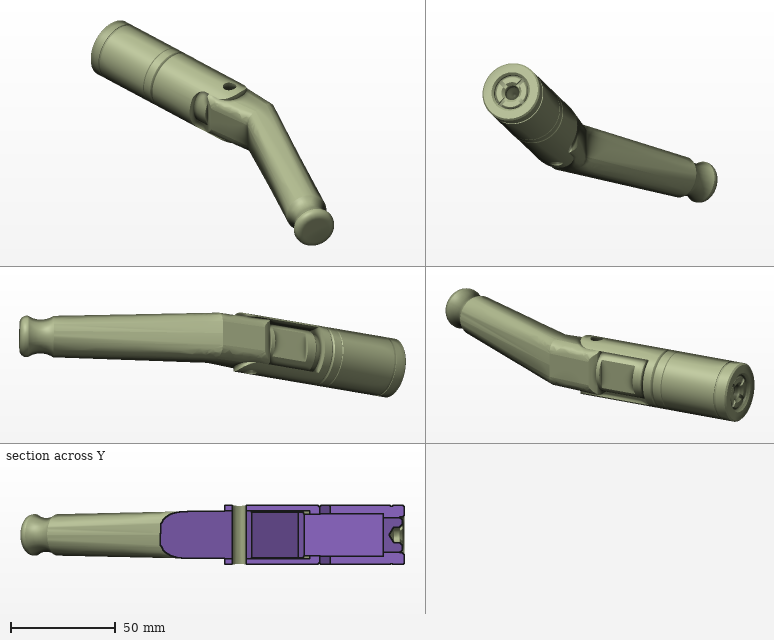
import cadquery as cq
import math

barrel_dia = 28.5
sleeve_end = 35.6
ring_end = 40.8
housing_end = 86.1
end_chamfer = 0.7
fine_chamfer = 0.28
groove_start = 5.7
groove_width = 1.1
groove_depth = 0.4

screw_dia = 16.2
screw_recess = 1.1
screw_length = 9.2
screw_chamfer = 0.7
mouth_dia = 19.1
mouth_bore_dia = 17.0
center_mouth_dia = 10.0
center_dia = 7.2
center_depth = 4.0
center_tip_depth = 2.2
screw_slot_width = 1.8
screw_slot_depth = 1.1

rod_dia = 20.0
washer_start = 48.1
washer_dia = 22.0
washer_chamfer = 0.5
plunger_start = 51.0
plunger_dia = 22.0
plunger_end = 73.3
plunger_collar = 1.8
plunger_shoulder = 2.0
plunger_flat_y = 8.5

bore_dia = 22.8
slot_width = 22.8
window_start = 45.5
notch_start = 66.1
notch_corner_radius = 5.0
cheek_corner_radius = 7.3
pin_x = 79.0
pin_dia = 6.5

head_start = plunger_end
head_height = 22.8
head_half_width = 11.5
nose_center_x = 80.0
nose_radius = 11.5
bend_x = 99.7
bend_half_width = 9.4
edge_radius = 5.5
grip_angle = 29.7
grip_length = 76.2
knob_dia = 19.8
neck_dia = 16.2
neck_length = 12.1
knob_length = 4.0
knob_face_dia = 13.0


def cylinder(start, end, diameter):
    """Cylinder on the barrel axis between two X positions."""
    return cq.Workplane("YZ", origin=(start, 0, 0)).circle(diameter / 2).extrude(end - start)


def box_between(x_range, y_range, z_range):
    """Box given by its lower and upper limit along each axis."""
    sizes = [high - low for low, high in (x_range, y_range, z_range)]
    return cq.Workplane("XY", origin=(x_range[0], y_range[0], z_range[0])).box(*sizes, centered=False)


def cone_frustum(start, end, start_dia, end_dia):
    """Solid of revolution with straight sides between two X positions."""
    profile = [(start, 0), (start, start_dia / 2), (end, end_dia / 2)]
    if end_dia > 0:
        profile.append((end, 0))
    return cq.Workplane("XY").polyline(profile).close().revolve(360, (0, 0, 0), (1, 0, 0))


def make_sleeve():
    sleeve = cylinder(0, sleeve_end, barrel_dia)
    sleeve = sleeve.faces("<X").chamfer(end_chamfer).faces(">X").chamfer(fine_chamfer)
    groove_end = groove_start + groove_width
    groove = cylinder(groove_start, groove_end, 2 * barrel_dia)
    groove = groove.cut(cylinder(groove_start, groove_end, barrel_dia - 2 * groove_depth))
    sleeve = sleeve.cut(groove)
    countersink_depth = (mouth_dia - mouth_bore_dia) / 2
    sleeve = sleeve.cut(cone_frustum(0, countersink_depth, mouth_dia, mouth_bore_dia))
    sleeve = sleeve.cut(cylinder(0, screw_recess + screw_slot_depth, mouth_bore_dia))
    sleeve = sleeve.cut(cylinder(0, screw_recess + screw_length, screw_dia))
    return sleeve.cut(cylinder(screw_recess + screw_length, sleeve_end, rod_dia))


def make_screw():
    face_x = screw_recess
    screw = cylinder(face_x, face_x + screw_length, screw_dia).faces("<X").chamfer(screw_chamfer)
    countersink_depth = (center_mouth_dia - center_dia) / 2
    tip_x = face_x + center_depth
    screw = screw.cut(cylinder(face_x, tip_x, center_dia))
    screw = screw.cut(cone_frustum(face_x, face_x + countersink_depth, center_mouth_dia, center_dia))
    screw = screw.cut(cone_frustum(tip_x, tip_x + center_tip_depth, center_dia, 0))
    half_slot = screw_slot_width / 2
    slot = box_between(
        (face_x, face_x + screw_slot_depth), (-screw_dia, screw_dia), (-half_slot, half_slot)
    )
    for angle in (45, 135):
        screw = screw.cut(slot.rotate((0, 0, 0), (1, 0, 0), angle))
    return screw


def make_ring():
    ring = cylinder(sleeve_end, ring_end, barrel_dia)
    ring = ring.faces("<X").chamfer(fine_chamfer).faces(">X").chamfer(end_chamfer)
    return ring.cut(cylinder(sleeve_end, ring_end, rod_dia))


def make_rod():
    return cylinder(screw_recess + screw_length, washer_start, rod_dia)


def make_washer():
    return cylinder(washer_start, plunger_start, washer_dia).edges("<X").chamfer(washer_chamfer)


def make_plunger():
    plunger = cylinder(plunger_start, plunger_end, plunger_dia)
    radius = plunger_dia / 2
    flat = box_between(
        (plunger_start + plunger_shoulder, plunger_end - plunger_collar),
        (plunger_flat_y, radius),
        (-radius, radius),
    )
    return plunger.cut(flat)


def make_housing():
    radius = barrel_dia / 2
    half_slot = slot_width / 2
    housing = cylinder(ring_end, housing_end, barrel_dia).faces("<X").chamfer(end_chamfer)
    housing = housing.cut(cylinder(ring_end, washer_start, rod_dia))
    housing = housing.cut(cylinder(washer_start, housing_end, bore_dia))
    slot_height = (-half_slot, half_slot)
    window = box_between((window_start, housing_end), (0, radius), slot_height)
    notch = box_between((notch_start, housing_end + notch_corner_radius), (-radius, 0), slot_height)
    notch = notch.edges("|Y and <X").fillet(notch_corner_radius)
    housing = housing.cut(window).cut(notch)
    cheek_half_width = math.sqrt(radius**2 - half_slot**2)
    tip = box_between(
        (ring_end, housing_end), (-cheek_half_width, cheek_half_width), (-radius, radius)
    )
    tip = tip.edges("|Z and >X").fillet(cheek_corner_radius)
    tip = tip.union(cylinder(ring_end, pin_x - cheek_corner_radius, barrel_dia))
    housing = housing.intersect(tip)
    return housing.cut(pin_hole())


def pin_hole():
    hole = cq.Workplane("XY", origin=(pin_x, 0, -barrel_dia))
    return hole.circle(pin_dia / 2).extrude(2 * barrel_dia)


def head_outline(x, half_width):
    """Outline of the handle across X, a rectangle with rounded corners."""
    outline = cq.Workplane("YZ", origin=(x, 0, 0)).rect(2 * half_width, head_height).val()
    return outline.fillet2D(edge_radius, outline.Vertices())


def make_head():
    start_outline = head_outline(head_start, head_half_width)
    bend_outline = head_outline(bend_x, bend_half_width)
    head = cq.Workplane(cq.Solid.makeLoft([start_outline, bend_outline], True))
    nose = cq.Workplane("XY").center(nose_center_x, 0).circle(nose_radius).extrude(head_height, both=True)
    rest = box_between(
        (nose_center_x, bend_x), (-barrel_dia, barrel_dia), (-head_height, head_height)
    )
    return head.intersect(nose.union(rest))


def make_handle():
    lean = math.radians(grip_angle)
    axis = cq.Vector(math.cos(lean), -math.sin(lean), 0)
    grip_end = cq.Vector(bend_x, 0, 0) + axis * grip_length
    across = cq.Vector(math.sin(lean), math.cos(lean), 0)

    end_circle = cq.Wire.makeCircle(knob_dia / 2, grip_end, axis)
    grip = cq.Workplane(cq.Solid.makeLoft([head_outline(bend_x, bend_half_width), end_circle]))

    knob_radius = knob_dia / 2
    face_radius = knob_face_dia / 2
    rounding = knob_radius - face_radius
    tip = neck_length + knob_length
    bulge = rounding * math.sqrt(0.5)
    knob = (
        cq.Workplane(cq.Plane(origin=grip_end, xDir=across, normal=(0, 0, -1)))
        .moveTo(0, 0)
        .lineTo(knob_radius, 0)
        .threePointArc((neck_dia / 2, neck_length / 2), (knob_radius, neck_length))
        .lineTo(knob_radius, tip - rounding)
        .threePointArc((face_radius + bulge, tip - rounding + bulge), (face_radius, tip))
        .lineTo(0, tip)
        .close()
        .revolve(360, (0, 0, 0), (0, 1, 0))
    )
    return make_head().union(grip).union(knob).cut(pin_hole())


sleeve = make_sleeve()
screw = make_screw()
ring = make_ring()
rod = make_rod()
washer = make_washer()
plunger = make_plunger()
housing = make_housing()
handle = make_handle()

bodies = [sleeve, screw, ring, rod, washer, plunger, housing, handle]
result = cq.Compound.makeCompound([body.val() for body in bodies])